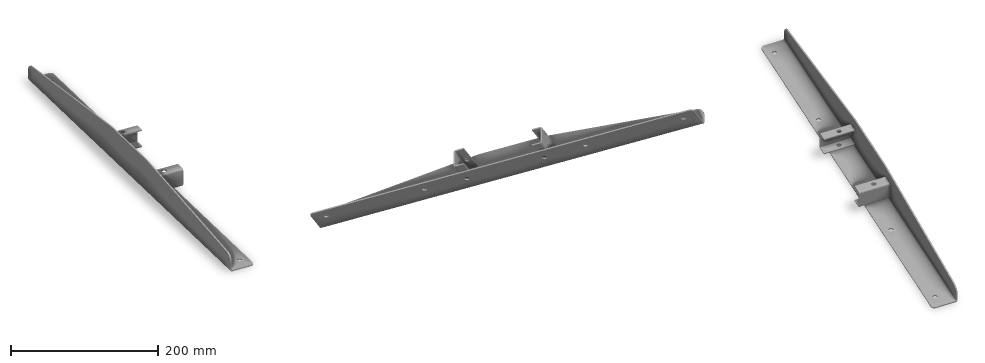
import cadquery as cq

length = 575.0
height = 51.0
sheet = 2.0
bend_radius = 3.5
base_depth = 37.5
base_corner_radius = 5.0
end_height = 26.0
crest_length = 100.0
top_corner_radius = 11.5

bracket_depth = 48.0
bracket_outer_x = 66.0
bracket_width = 15.0
bracket_bottom = 5.0
bracket_top = 33.0
bracket_bend_radius = 3.0

hole_diameter = 7.0
base_hole_xs = (121.0, 268.0)
base_hole_y = 25.0
bracket_hole_x = 58.0
bracket_hole_y = 22.5


def make_folded_sheet():
    """L-section with the outline of each flange trimmed to shape."""
    section = (
        cq.Workplane("YZ")
        .polyline([
            (0, 0),
            (base_depth, 0),
            (base_depth, sheet),
            (sheet, sheet),
            (sheet, height),
            (0, height),
        ])
        .close()
        .extrude(length / 2, both=True)
    )
    section = section.edges("|X and <Y and <Z").fillet(bend_radius)
    section = section.edges("|X").edges(
        cq.selectors.NearestToPointSelector((0, sheet, sheet))
    ).fillet(bend_radius - sheet)

    front_outline = (
        cq.Workplane("XZ")
        .polyline([
            (-length / 2, 0),
            (length / 2, 0),
            (length / 2, end_height),
            (crest_length / 2, height),
            (-crest_length / 2, height),
            (-length / 2, end_height),
        ])
        .close()
        .extrude(-base_depth)
    )
    corners = cq.selectors.BoxSelector(
        (-length, -base_depth, end_height - sheet), (length, 2 * base_depth, end_height + sheet)
    )
    front_outline = front_outline.edges("|Y").edges(corners).fillet(top_corner_radius)
    base_outline = (
        cq.Workplane("XY")
        .box(length, base_depth, height, centered=(True, False, False))
        .edges("|Z and >Y")
        .fillet(base_corner_radius)
    )
    return section.intersect(front_outline).intersect(base_outline)


def make_left_bracket():
    """Channel open towards the middle of the part, starting at the front plate."""
    start = sheet / 2
    channel_height = bracket_top - bracket_bottom
    outer = (
        cq.Workplane("XY")
        .box(bracket_width, bracket_depth - start, channel_height, centered=False)
        .edges("|Y and <X")
        .fillet(bracket_bend_radius)
    )
    inner = (
        cq.Workplane("XY")
        .box(bracket_width, bracket_depth - start, channel_height - 2 * sheet, centered=False)
        .edges("|Y and <X")
        .fillet(bracket_bend_radius - sheet)
        .translate((sheet, 0, sheet))
    )
    return outer.cut(inner).translate((-bracket_outer_x, start, bracket_bottom))


def make_holes():
    """Vertical holes through the base and through the brackets."""
    left_points = [(-x, base_hole_y) for x in base_hole_xs]
    left_points.append((-bracket_hole_x, bracket_hole_y))
    right_points = [(-x, y) for x, y in left_points]
    return (
        cq.Workplane("XY")
        .pushPoints(left_points + right_points)
        .circle(hole_diameter / 2)
        .extrude(height)
    )


left_bracket = make_left_bracket()
right_bracket = left_bracket.mirror("YZ")
result = make_folded_sheet().union(left_bracket).union(right_bracket).cut(make_holes())